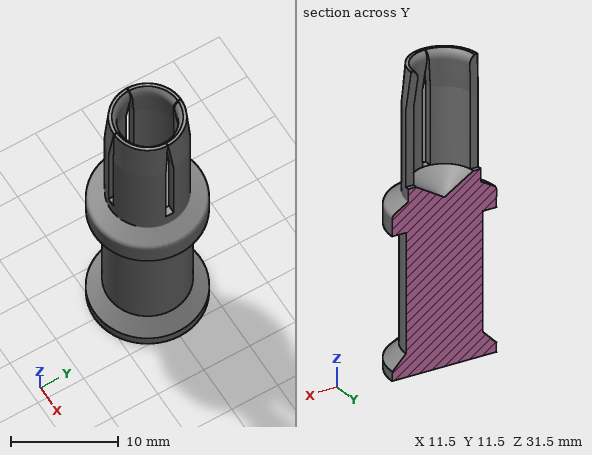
import cadquery as cq
import math

total_height = 31.5
flange_radius = 5.75

foot_height = 1.0
shank_radius = 4.25
foot_cone_top = foot_height + (flange_radius - shank_radius)

collar_bottom = 15.0
collar_slope_bottom = 17.15
collar_slope_angle = 30.0
collar_edge_fillet = 0.5

socket_radius = 4.0
socket_tip_radius = 3.65
socket_root_fillet = 0.1
squeeze_bottom = 27.5
collar_slope_rise = (flange_radius - socket_radius) * math.tan(math.radians(collar_slope_angle))
collar_top = collar_slope_bottom + collar_slope_rise

bore_radius = 3.15
bore_bottom = 19.5
bore_point_angle = 118.0
bore_point_depth = bore_radius / math.tan(math.radians(bore_point_angle / 2))
throat_radius = 2.87
lip_depth = 1.0
lip_chamfer_depth = 0.2
lip_chamfer_radius = 3.15
mouth_radius = 3.32

slot_width = 0.85
slot_tip_gap = 0.05
slot_bottom = bore_bottom


def make_body():
    """Solid of revolution: foot, shank, collar and socket."""
    body = (
        cq.Workplane("XZ")
        .lineTo(flange_radius, 0)
        .lineTo(flange_radius, foot_height)
        .lineTo(shank_radius, foot_cone_top)
        .lineTo(shank_radius, collar_bottom)
        .lineTo(flange_radius, collar_bottom)
        .lineTo(flange_radius, collar_slope_bottom)
        .lineTo(socket_radius, collar_top)
        .lineTo(socket_radius, squeeze_bottom)
        .lineTo(socket_tip_radius, total_height)
        .lineTo(0, total_height)
        .close()
        .revolve(360, (0, 0), (0, 1))
    )
    body = round_circle(body, collar_slope_bottom, collar_edge_fillet)
    return round_circle(body, collar_top, socket_root_fillet)


def round_circle(body, height, radius):
    """Fillet the circular edge that lies at the given height."""
    half_band = 0.01
    reach = 2 * flange_radius
    band = cq.selectors.BoxSelector(
        (-reach, -reach, height - half_band), (reach, reach, height + half_band), boundingbox=True
    )
    return body.edges(band).fillet(radius)


def make_bore():
    """Pointed bore with a narrowed throat and a rounded, chamfered lip."""
    lip_start = (lip_chamfer_radius, total_height - lip_chamfer_depth)
    lip_end = (throat_radius, total_height - lip_depth)
    return (
        cq.Workplane("XZ")
        .moveTo(0, bore_bottom - bore_point_depth)
        .lineTo(bore_radius, bore_bottom)
        .lineTo(bore_radius, squeeze_bottom)
        .lineTo(*lip_end)
        .tangentArcPoint(lip_start, relative=False)
        .lineTo(mouth_radius, total_height)
        .lineTo(0, total_height)
        .close()
        .revolve(360, (0, 0), (0, 1))
    )


def make_slot(turn):
    """Slot across the whole socket, closing towards the tip, turned about Z."""
    half_width = slot_width / 2
    half_gap = slot_tip_gap / 2
    return (
        cq.Workplane("XZ")
        .moveTo(-half_width, slot_bottom)
        .lineTo(half_width, slot_bottom)
        .lineTo(half_width, squeeze_bottom)
        .lineTo(half_gap, total_height)
        .lineTo(-half_gap, total_height)
        .lineTo(-half_width, squeeze_bottom)
        .close()
        .extrude(flange_radius, both=True)
        .rotate((0, 0, 0), (0, 0, 1), turn)
    )


result = make_body().cut(make_bore())
for slot_turn in (0, 90):
    result = result.cut(make_slot(slot_turn))